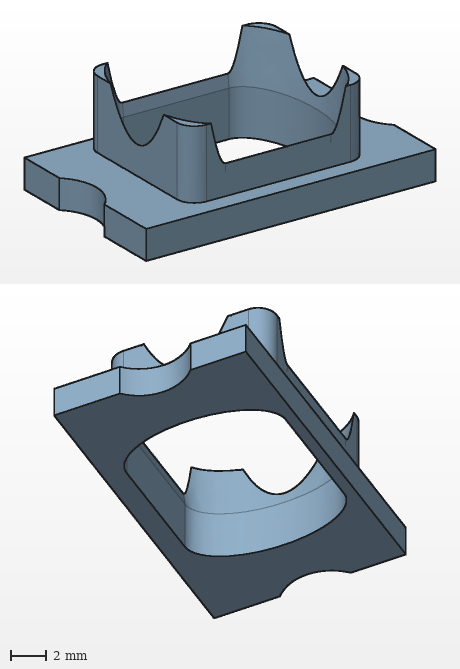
import cadquery as cq

plate_width = 12.31
plate_length = 20.05
plate_height = 2.0

feature_x = -0.35

notch_half_width = 2.27
notch_depth = 1.0

collar_width = 10.45
collar_length = 12.4
collar_top = 6.8
collar_corner_radius = 1.2

opening_half_width = 5.11
opening_straight_half_length = 3.65
opening_end_rise = 2.45

flare_start = 3.2
flare_growth = 0.46


def make_plate():
    plate = cq.Workplane("XY").box(plate_width, plate_length, plate_height, centered=(True, True, False))
    for side in (-1, 1):
        end_y = side * plate_length / 2
        notch = (
            cq.Workplane("XY")
            .moveTo(feature_x - notch_half_width, end_y)
            .threePointArc(
                (feature_x, end_y - side * notch_depth),
                (feature_x + notch_half_width, end_y),
            )
            .close()
            .extrude(plate_height)
        )
        plate = plate.cut(notch)
    return plate


def make_collar():
    return (
        cq.Workplane("XY")
        .center(feature_x, 0)
        .rect(collar_width, collar_length)
        .extrude(collar_top)
        .edges("|Z")
        .fillet(collar_corner_radius)
    )


def opening_wire(height, growth):
    """Closed outline of the opening, enlarged outward by the given growth."""
    half_width = opening_half_width + growth
    end_rise = opening_end_rise + growth
    end_y = opening_straight_half_length
    left = feature_x - half_width
    right = feature_x + half_width

    def half_ellipse(side):
        start_angle = 0 if side > 0 else 180
        return cq.Edge.makeEllipse(
            half_width,
            end_rise,
            cq.Vector(feature_x, side * end_y, height),
            cq.Vector(0, 0, 1),
            cq.Vector(1, 0, 0),
            start_angle,
            start_angle + 180,
        )

    left_side = cq.Edge.makeLine(cq.Vector(left, end_y, height), cq.Vector(left, -end_y, height))
    right_side = cq.Edge.makeLine(cq.Vector(right, -end_y, height), cq.Vector(right, end_y, height))
    return cq.Wire.assembleEdges([half_ellipse(1), left_side, half_ellipse(-1), right_side])


def make_opening():
    straight = cq.Solid.extrudeLinear(opening_wire(0, 0), [], cq.Vector(0, 0, flare_start))
    flare = cq.Solid.makeLoft([opening_wire(flare_start, 0), opening_wire(collar_top, flare_growth)], True)
    return straight, flare


result = make_plate().union(make_collar())
for cutter in make_opening():
    result = result.cut(cq.Workplane(cutter))